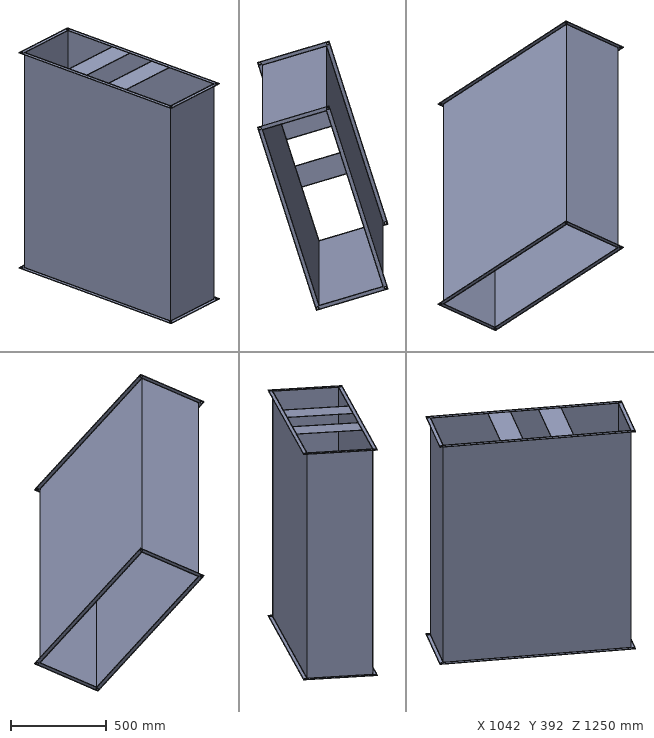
import cadquery as cq

height = 1250.0
inner_length = 1000.0
inner_width = 350.0
wall = 1.0
flange_width = 20.0
flange_thickness = 1.0
hole_diameter = 12.0
strap_width = 120.0
strap_thickness = 1.0
strap_gap = 150.0

casing_length = inner_length + 2 * wall
casing_width = inner_width + 2 * wall
casing_height = height - 2 * flange_thickness
flange_length = casing_length + 2 * flange_width
flange_depth = casing_width + 2 * flange_width
hole_spacing_x = casing_length + flange_width
hole_spacing_y = casing_width + flange_width
strap_offset = (strap_gap + strap_width) / 2


def make_casing():
    """Thin rectangular duct, open at both ends, standing between the two flanges."""
    return (
        cq.Workplane("XY", origin=(0, 0, flange_thickness))
        .rect(casing_length, casing_width)
        .rect(inner_length, inner_width)
        .extrude(casing_height)
    )


def make_flange(base_z):
    """Flat frame capping one end of the casing, with a bolt hole at each corner."""
    frame = (
        cq.Workplane("XY", origin=(0, 0, base_z))
        .rect(flange_length, flange_depth)
        .rect(inner_length, inner_width)
        .extrude(flange_thickness)
    )
    holes = (
        cq.Workplane("XY", origin=(0, 0, base_z))
        .rect(hole_spacing_x, hole_spacing_y, forConstruction=True)
        .vertices()
        .circle(hole_diameter / 2)
        .extrude(flange_thickness)
    )
    return frame.cut(holes)


def make_strap(center_x):
    """Thin flat strap across the duct width, flush with its upper end."""
    return (
        cq.Workplane("XY", origin=(center_x, 0, height - strap_thickness))
        .rect(strap_width, inner_width)
        .extrude(strap_thickness)
    )


casing = make_casing()
flanges = [make_flange(base_z) for base_z in (0, height - flange_thickness)]
straps = [make_strap(center_x) for center_x in (-strap_offset, strap_offset)]

result = cq.Compound.makeCompound(
    [casing.val()]
    + [flange.val() for flange in flanges]
    + [strap.val() for strap in straps]
)